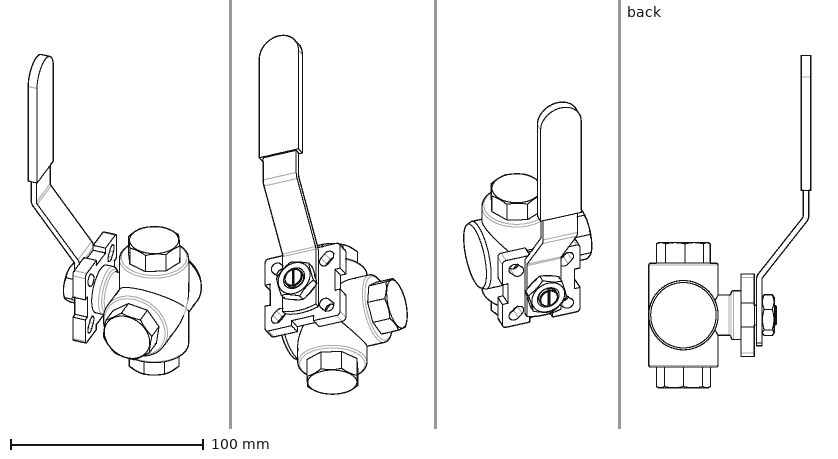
import cadquery as cq
import math


BODY_D = 36.0
RUN_HALF = 27.0
SIDE_LENGTH = 26.5
PORT_ROUND = 1.0
BACK_END = 23.0
BACK_CHAMFER_RADIAL = 1.0
BACK_CHAMFER_AXIAL = 2.2

OCT_SIDES = 8
OCT_FLATS = 26.0
OCT_FACE_D = 25.5
RUN_END = 37.8
SIDE_END = 37.0
CHAMFER_ANGLE = 30.0
OCT_TURN_TOP = 3.5
OCT_TURN_BOTTOM = 0.0
OCT_TURN_SIDE = 14.5

NECK_D = 21.0
NECK_ROOT_R = 1.0
FLANGE_D = 25.5
FLANGE_INNER_X = -24.7
FLANGE_ROUND = (FLANGE_D - NECK_D) / 2 - NECK_ROOT_R
PLATE_INNER_X = -29.8
PLATE_T = 7.0
PLATE_SIDE = 43.0
PLATE_ROUND = 2.0
NOTCH_W = 12.5
NOTCH_DEPTH = 3.0
SLOT_W = 6.0
SLOT_INNER_PCD = 36.0
SLOT_OUTER_PCD = 42.0

HANDLE_T = 3.0
HANDLE_W = 19.0
HANDLE_FOOT_X = -40.8
HANDLE_FOOT_Z = -15.9
HANDLE_FOOT_R = 30.0
LOWER_BEND_Z = 19.1
UPPER_BEND_Z = 49.9
BEND_INSIDE_R = 2.0
GRIP_T = 5.0
GRIP_W = 22.5
GRIP_OUTER_X = -84.09 + BODY_D / 2
GRIP_BOTTOM_Z = 64.8
GRIP_TOP_Z = 172.69 - RUN_END

STEM_D = 12.0
STEM_FLATS = 10.4
THREAD_D = 10.0
STEM_END_X = -48.3
STEM_CHAMFER = 0.4
DRIVER_SLOT_W = 1.0
DRIVER_SLOT_DEPTH = 1.0
NUT_SIDES = 6
NUT_FLATS = 19.0
NUT_FACE_D = 18.2
NUT_H = 6.4
NUT_TURN = 14.0
NUT_COUNTERSINK_D = 12.0
NUT_COUNTERSINK_ANGLE = 90.0


def rod(axis, diameter, start, end):
    """Cylinder about an axis through the origin, from start to end along it."""
    direction = cq.Vector(*axis)
    return cq.Workplane(cq.Solid.makeCylinder(
        diameter / 2, end - start, direction * start, direction))


def chamfered_prism(sides, flats, face_d, start, end, turn):
    """Prism along +Z whose corners are turned off at the top end."""
    corner_d = flats / math.cos(math.pi / sides)
    drop = (corner_d - face_d) / 2 * math.tan(math.radians(CHAMFER_ANGLE))
    prism = (
        cq.Workplane("XY").workplane(offset=start)
        .polygon(sides, corner_d).extrude(end - start)
        .rotate((0, 0, 0), (0, 0, 1), turn)
    )
    envelope = (
        cq.Workplane("XZ")
        .moveTo(0, start)
        .lineTo(corner_d / 2, start)
        .lineTo(corner_d / 2, end - drop)
        .lineTo(face_d / 2, end)
        .lineTo(0, end)
        .close()
        .revolve(360, (0, 0, 0), (0, 1, 0))
    )
    return prism.intersect(envelope)


def make_body():
    run = rod((0, 0, 1), BODY_D, -RUN_HALF, RUN_HALF).edges("%CIRCLE").fillet(PORT_ROUND)
    cross = rod((0, -1, 0), BODY_D, -BACK_END, SIDE_LENGTH)
    cross = cross.faces("<Y").edges().fillet(PORT_ROUND)
    cross = cross.faces(">Y").edges().chamfer(BACK_CHAMFER_AXIAL, BACK_CHAMFER_RADIAL)
    return run.union(cross)


def port_end(end, turn):
    return chamfered_prism(OCT_SIDES, OCT_FLATS, OCT_FACE_D, 0, end, turn)


def make_port_ends():
    top = port_end(RUN_END, OCT_TURN_TOP)
    bottom = port_end(RUN_END, OCT_TURN_BOTTOM).rotate((0, 0, 0), (1, 0, 0), 180)
    side = port_end(SIDE_END, OCT_TURN_SIDE).rotate((0, 0, 0), (1, 0, 0), 90)
    return top.union(bottom).union(side)


def make_bonnet():
    """Neck and flange, turned about the stem axis."""
    neck_r = NECK_D / 2
    flange_r = FLANGE_D / 2
    profile = (
        cq.Workplane("XZ")
        .lineTo(0, neck_r)
        .lineTo(FLANGE_INNER_X + NECK_ROOT_R, neck_r)
        .radiusArc((FLANGE_INNER_X, neck_r + NECK_ROOT_R), NECK_ROOT_R)
        .radiusArc((FLANGE_INNER_X - FLANGE_ROUND, flange_r), -FLANGE_ROUND)
        .lineTo(PLATE_INNER_X, flange_r)
        .lineTo(PLATE_INNER_X, 0)
        .close()
    )
    return profile.revolve(360, (0, 0, 0), (1, 0, 0))


def make_plate():
    plate = (
        cq.Workplane("YZ").workplane(offset=PLATE_INNER_X)
        .rect(PLATE_SIDE, PLATE_SIDE).extrude(-PLATE_T)
        .edges("|X").fillet(PLATE_ROUND)
    )
    notch = (
        cq.Workplane("YZ").workplane(offset=PLATE_INNER_X)
        .center(0, PLATE_SIDE / 2)
        .rect(NOTCH_W, 2 * NOTCH_DEPTH).extrude(-PLATE_T)
    )
    slot = (
        cq.Workplane("YZ").workplane(offset=PLATE_INNER_X)
        .center((SLOT_INNER_PCD + SLOT_OUTER_PCD) / 4, 0)
        .slot2D((SLOT_OUTER_PCD - SLOT_INNER_PCD) / 2 + SLOT_W, SLOT_W)
        .extrude(-PLATE_T)
    )
    for quarter in range(4):
        angle = 90 * quarter
        plate = plate.cut(notch.rotate((0, 0, 0), (1, 0, 0), angle))
        plate = plate.cut(slot.rotate((0, 0, 0), (1, 0, 0), angle + 45))
    return plate


def make_handle():
    strip_x = GRIP_OUTER_X + (GRIP_T - HANDLE_T) / 2
    slope = math.atan2(HANDLE_FOOT_X - strip_x, UPPER_BEND_Z - LOWER_BEND_Z)
    miter = HANDLE_T * math.tan(slope / 2)
    strip = (
        cq.Workplane("XZ")
        .moveTo(HANDLE_FOOT_X, HANDLE_FOOT_Z)
        .lineTo(HANDLE_FOOT_X, LOWER_BEND_Z)
        .lineTo(strip_x, UPPER_BEND_Z)
        .lineTo(strip_x, GRIP_BOTTOM_Z)
        .lineTo(strip_x + HANDLE_T, GRIP_BOTTOM_Z)
        .lineTo(strip_x + HANDLE_T, UPPER_BEND_Z + miter)
        .lineTo(HANDLE_FOOT_X + HANDLE_T, LOWER_BEND_Z + miter)
        .lineTo(HANDLE_FOOT_X + HANDLE_T, HANDLE_FOOT_Z)
        .close()
        .extrude(HANDLE_W / 2, both=True)
    )
    inside_bends = (
        cq.selectors.NearestToPointSelector((HANDLE_FOOT_X, 0, LOWER_BEND_Z))
        + cq.selectors.NearestToPointSelector((strip_x + HANDLE_T, 0, UPPER_BEND_Z + miter))
    )
    outside_bends = (
        cq.selectors.NearestToPointSelector((strip_x, 0, UPPER_BEND_Z))
        + cq.selectors.NearestToPointSelector((HANDLE_FOOT_X + HANDLE_T, 0, LOWER_BEND_Z + miter))
    )
    strip = strip.edges("|Y").edges(inside_bends).fillet(BEND_INSIDE_R)
    strip = strip.edges("|Y").edges(outside_bends).fillet(BEND_INSIDE_R + HANDLE_T)

    foot_arc = (
        rod((1, 0, 0), 2 * HANDLE_FOOT_R, HANDLE_FOOT_X, HANDLE_FOOT_X + HANDLE_T)
        .translate((0, 0, HANDLE_FOOT_Z + HANDLE_FOOT_R))
    )
    foot_blank = cq.Workplane("XY").box(
        HANDLE_T, HANDLE_W, HANDLE_FOOT_R, centered=(False, True, False)
    ).translate((HANDLE_FOOT_X, 0, HANDLE_FOOT_Z))
    foot_waste = foot_blank.cut(foot_arc)

    grip_shoulder_z = GRIP_TOP_Z - GRIP_W / 2
    grip = (
        cq.Workplane("YZ").workplane(offset=GRIP_OUTER_X)
        .moveTo(-GRIP_W / 2, GRIP_BOTTOM_Z)
        .lineTo(-GRIP_W / 2, grip_shoulder_z)
        .threePointArc((0, GRIP_TOP_Z), (GRIP_W / 2, grip_shoulder_z))
        .lineTo(GRIP_W / 2, GRIP_BOTTOM_Z)
        .close()
        .extrude(GRIP_T)
    )
    return strip.cut(foot_waste).union(grip)


def make_stem_and_nut():
    shank = rod((-1, 0, 0), STEM_D, -PLATE_INNER_X, -HANDLE_FOOT_X)
    flats = cq.Workplane("XY").box(-2 * HANDLE_FOOT_X, STEM_D, STEM_FLATS)
    shank = shank.intersect(flats)

    nut = chamfered_prism(NUT_SIDES, NUT_FLATS, NUT_FACE_D, 0, NUT_H, 0)
    nut = nut.intersect(nut.mirror("XY").translate((0, 0, NUT_H)))
    nut = nut.faces(">Z").workplane().cskHole(THREAD_D, NUT_COUNTERSINK_D, NUT_COUNTERSINK_ANGLE)
    nut = (
        nut.rotate((0, 0, 0), (0, 1, 0), -90)
        .rotate((0, 0, 0), (1, 0, 0), -NUT_TURN)
        .translate((HANDLE_FOOT_X, 0, 0))
    )
    thread = rod((-1, 0, 0), THREAD_D, -HANDLE_FOOT_X, -STEM_END_X)
    thread = thread.faces("<X").edges().chamfer(STEM_CHAMFER)
    driver_slot = cq.Workplane("XY").box(2 * DRIVER_SLOT_DEPTH, DRIVER_SLOT_W, STEM_D)
    thread = thread.cut(driver_slot.translate((STEM_END_X, 0, 0)))
    return shank.union(nut).union(thread)


result = (
    make_body()
    .union(make_port_ends())
    .union(make_bonnet())
    .union(make_plate())
    .union(make_handle())
    .union(make_stem_and_nut())
)